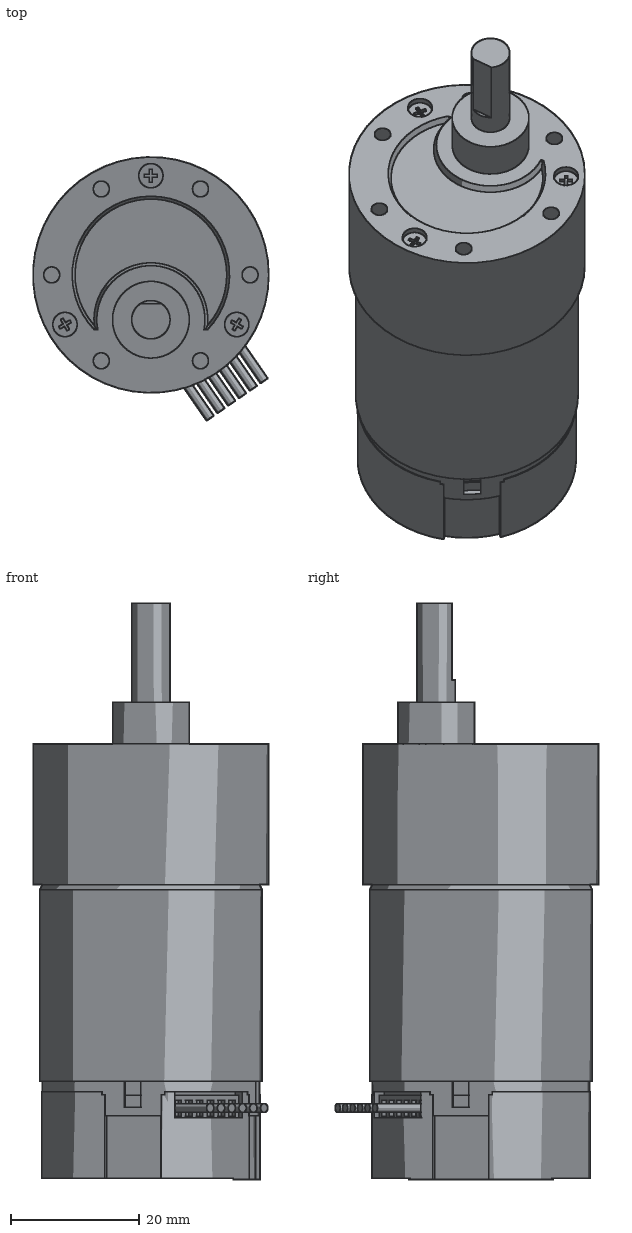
import cadquery as cq
import math

CAP_PAD_HEIGHT = 0.2
CAP_PANEL_TOP = 13.75
COLLAR_BOTTOM = 10.0
MOTOR_BOTTOM = 15.35
GEARBOX_LENGTH = 22.0
SHAFT_PROJECTION = 22.0
OVERALL_HEIGHT = 90.1
GEARBOX_TOP = OVERALL_HEIGHT - SHAFT_PROJECTION
GEARBOX_BOTTOM = GEARBOX_TOP - GEARBOX_LENGTH

GEARBOX_RADIUS = 18.44
MOTOR_RADIUS = 17.4
MOTOR_BEVEL_RADIAL = 0.4
MOTOR_BEVEL_HEIGHT = 0.8

BOLT_CIRCLE_RADIUS = 15.5
MOUNT_HOLE_DIAMETER = 2.5
MOUNT_HOLE_DEPTH = 5.0
MOUNT_HOLE_COUNT = 6

SCREW_RECESS_DIAMETER = 3.8
SCREW_RECESS_DEPTH = 1.0
SCREW_COUNT = 3
SCREW_START_ANGLE = 90.0
CROSS_LENGTH = 2.0
CROSS_WIDTH = 0.45
CROSS_DEPTH = 0.6

SHAFT_OFFSET_Y = -7.0
SHAFT_RADIUS = 3.0
SHAFT_FLAT_LENGTH = 12.0
SHAFT_FLAT_DEPTH = 0.5
BOSS_RADIUS = 6.0
BOSS_HEIGHT = 6.5

CRESCENT_OUTER_RADIUS = 12.3
CRESCENT_INNER_RADIUS = 8.45
CRESCENT_WALL_RUN = 0.45
CRESCENT_DEPTH = 1.0
CRESCENT_TIP_Y = -8.6

CAP_CORE_RADIUS = 16.4
COLLAR_RADIUS = 17.0
PANEL_RADIUS = 17.1
PANEL_CORNER_WIDTH = 0.55
PANEL_CORNER_HEIGHT = 0.5
PAD_CHORD_X = 12.85

CONNECTOR_ANGLE = -55.3
GAP_WIDTH = 30.2
GAP_SPACING = 135.6
REAR_GAP_ANGLE = CONNECTOR_ANGLE + 180.0
GAP_ANGLES = [REAR_GAP_ANGLE, REAR_GAP_ANGLE + GAP_SPACING, REAR_GAP_ANGLE + 360.0 - GAP_SPACING]

NOTCH_WIDTH = 2.65
NOTCH_BOTTOM = 11.3
NOTCH_STEP_LEVEL = 13.2
NOTCH_LOWER_DEPTH = 0.8
NOTCH_UPPER_DEPTH = 1.1

WINDOW_WIDTH = 12.8
WINDOW_BOTTOM = 9.7
PLUG_FACE_DISTANCE = 14.9
PLUG_TOP = 13.2
PLUG_GAP_DEPTH = 1.0
PLUG_POCKET_WIDTH = 1.2
PLUG_POCKET_BOTTOM = 9.95
PLUG_POCKET_TOP = 12.4
PLUG_POCKET_DEPTH = 0.9
WIRE_COUNT = 6
WIRE_PITCH = 2.05
WIRE_DIAMETER = 1.4
WIRE_TIP_DISTANCE = 23.69
WIRE_LEVEL = 11.2

CUT_CLEARANCE = 1.0


def cylinder(radius, z_low, z_high, x=0.0, y=0.0):
    """Upright cylinder between two levels."""
    return cq.Workplane("XY", origin=(x, y, z_low)).circle(radius).extrude(z_high - z_low)


def cone(radius_low, radius_high, z_low, z_high, y=0.0):
    """Upright cone frustum between two levels."""
    solid = cq.Solid.makeCone(radius_low, radius_high, z_high - z_low, cq.Vector(0, y, z_low))
    return cq.Workplane(obj=solid)


def radial_block(angle, inner, outer, offset, width, z_low, z_high):
    """Box reaching from inner to outer along a radial direction, shifted sideways by offset."""
    block = cq.Workplane("XY").box(outer - inner, width, z_high - z_low, centered=(False, True, False))
    return block.translate((inner, offset, z_low)).rotate((0, 0, 0), (0, 0, 1), angle)


def sector(radius, start, end, z_low, z_high):
    """Pie slice between two angles in degrees."""
    def rim_point(angle):
        turn = math.radians(angle)
        return (radius * math.cos(turn), radius * math.sin(turn))

    outline = cq.Workplane("XY", origin=(0, 0, z_low)).moveTo(0, 0).lineTo(*rim_point(start))
    outline = outline.threePointArc(rim_point((start + end) / 2), rim_point(end)).close()
    return outline.extrude(z_high - z_low)


def bolt_circle_points(count, start_angle):
    return cq.Workplane("XY").polarArray(BOLT_CIRCLE_RADIUS, start_angle, 360, count)


def crescent_pocket():
    """Round pocket with a raised round island around the shaft."""
    floor = GEARBOX_TOP - CRESCENT_DEPTH
    pocket = cone(CRESCENT_OUTER_RADIUS - CRESCENT_WALL_RUN, CRESCENT_OUTER_RADIUS, floor, GEARBOX_TOP)
    island = cone(
        CRESCENT_INNER_RADIUS + CRESCENT_WALL_RUN, CRESCENT_INNER_RADIUS, floor, GEARBOX_TOP, SHAFT_OFFSET_Y
    )
    tips = cq.Workplane("XY").box(
        2 * CRESCENT_OUTER_RADIUS, CRESCENT_OUTER_RADIUS, CRESCENT_DEPTH, centered=(True, False, False)
    )
    tips = tips.translate((0, CRESCENT_TIP_Y - CRESCENT_OUTER_RADIUS, floor))
    return pocket.cut(island).cut(tips)


def screw_recesses():
    """Sunk screw heads, each with a cross slot in its floor."""
    floor = GEARBOX_TOP - SCREW_RECESS_DEPTH
    recesses = bolt_circle_points(SCREW_COUNT, SCREW_START_ANGLE).circle(SCREW_RECESS_DIAMETER / 2)
    recesses = recesses.extrude(SCREW_RECESS_DEPTH).translate((0, 0, floor))
    for length, width in ((CROSS_LENGTH, CROSS_WIDTH), (CROSS_WIDTH, CROSS_LENGTH)):
        arms = bolt_circle_points(SCREW_COUNT, SCREW_START_ANGLE).rect(length, width)
        recesses = recesses.union(arms.extrude(CROSS_DEPTH).translate((0, 0, floor - CROSS_DEPTH)))
    return recesses


def gearbox():
    holes = bolt_circle_points(MOUNT_HOLE_COUNT, 0).circle(MOUNT_HOLE_DIAMETER / 2)
    holes = holes.extrude(MOUNT_HOLE_DEPTH).translate((0, 0, GEARBOX_TOP - MOUNT_HOLE_DEPTH))
    body = cylinder(GEARBOX_RADIUS, GEARBOX_BOTTOM, GEARBOX_TOP)
    return body.cut(holes).cut(screw_recesses()).cut(crescent_pocket())


def output_shaft():
    """Boss and D-shaped shaft, off the motor axis."""
    boss = cylinder(BOSS_RADIUS, GEARBOX_TOP, GEARBOX_TOP + BOSS_HEIGHT, 0, SHAFT_OFFSET_Y)
    shaft = cylinder(SHAFT_RADIUS, GEARBOX_TOP, OVERALL_HEIGHT, 0, SHAFT_OFFSET_Y)
    flat_y = SHAFT_OFFSET_Y + SHAFT_RADIUS - SHAFT_FLAT_DEPTH
    flat = cq.Workplane("XY").box(
        2 * SHAFT_RADIUS, SHAFT_RADIUS, SHAFT_FLAT_LENGTH, centered=(True, False, False)
    )
    shaft = shaft.cut(flat.translate((0, flat_y, OVERALL_HEIGHT - SHAFT_FLAT_LENGTH)))
    return boss.union(shaft)


def motor():
    """Motor can with a bevelled shoulder under the gearbox."""
    shoulder = GEARBOX_BOTTOM - MOTOR_BEVEL_HEIGHT
    can = cylinder(MOTOR_RADIUS, MOTOR_BOTTOM, shoulder)
    bevel = cone(MOTOR_RADIUS, MOTOR_RADIUS - MOTOR_BEVEL_RADIAL, shoulder, GEARBOX_BOTTOM)
    return can.union(bevel)


def cap_panel(start, end):
    """Side panel between two gaps, with its upper corners stepped."""
    shoulder = CAP_PANEL_TOP - PANEL_CORNER_HEIGHT
    inset = math.degrees(PANEL_CORNER_WIDTH / PANEL_RADIUS)
    lower = sector(PANEL_RADIUS, start, end, CAP_PAD_HEIGHT, shoulder)
    upper = sector(PANEL_RADIUS, start + inset, end - inset, shoulder, CAP_PANEL_TOP)
    return lower.union(upper)


def collar_notch(angle):
    """Notch in the collar, deeper above its step."""
    reach = COLLAR_RADIUS + CUT_CLEARANCE
    lower = radial_block(
        angle, COLLAR_RADIUS - NOTCH_LOWER_DEPTH, reach, 0, NOTCH_WIDTH, NOTCH_BOTTOM, MOTOR_BOTTOM
    )
    upper = radial_block(
        angle, COLLAR_RADIUS - NOTCH_UPPER_DEPTH, reach, 0, NOTCH_WIDTH, NOTCH_STEP_LEVEL, MOTOR_BOTTOM
    )
    return lower.union(upper)


def cap_pad():
    """Raised rim segment on the underside, cut off by a chord."""
    half_chord = math.sqrt(PANEL_RADIUS**2 - PAD_CHORD_X**2)
    outline = cq.Workplane("XY").moveTo(PAD_CHORD_X, -half_chord)
    outline = outline.threePointArc((PANEL_RADIUS, 0), (PAD_CHORD_X, half_chord)).close()
    gap_start = GAP_ANGLES[2] - GAP_WIDTH / 2
    gap = sector(2 * PANEL_RADIUS, gap_start, gap_start + GAP_WIDTH, 0, CAP_PAD_HEIGHT)
    gap = gap.cut(cylinder(CAP_CORE_RADIUS, 0, CAP_PAD_HEIGHT))
    return outline.extrude(CAP_PAD_HEIGHT).cut(gap)


def encoder_cap():
    cap = cylinder(CAP_CORE_RADIUS, CAP_PAD_HEIGHT, MOTOR_BOTTOM)
    cap = cap.union(cylinder(COLLAR_RADIUS, COLLAR_BOTTOM, MOTOR_BOTTOM))
    for index, gap in enumerate(GAP_ANGLES):
        next_gap = GAP_ANGLES[(index + 1) % len(GAP_ANGLES)]
        span = (next_gap - gap) % 360 - GAP_WIDTH
        start = gap + GAP_WIDTH / 2
        cap = cap.union(cap_panel(start, start + span))
    for gap in GAP_ANGLES:
        cap = cap.cut(collar_notch(gap))
    return cap.union(cap_pad())


def wire_offsets():
    middle = (WIRE_COUNT - 1) / 2
    return [(index - middle) * WIRE_PITCH for index in range(WIRE_COUNT)]


def connector_window():
    """Opening in front of the plug, a slit above it and a pocket around each wire."""
    reach = PANEL_RADIUS + CUT_CLEARANCE
    window = radial_block(
        CONNECTOR_ANGLE, PLUG_FACE_DISTANCE, reach, 0, WINDOW_WIDTH, WINDOW_BOTTOM, CAP_PANEL_TOP
    )
    slit_floor = PLUG_FACE_DISTANCE - PLUG_GAP_DEPTH
    window = window.union(
        radial_block(CONNECTOR_ANGLE, slit_floor, reach, 0, WINDOW_WIDTH, PLUG_TOP, CAP_PANEL_TOP)
    )
    pocket_floor = PLUG_FACE_DISTANCE - PLUG_POCKET_DEPTH
    for offset in wire_offsets():
        pocket = radial_block(
            CONNECTOR_ANGLE, pocket_floor, reach, offset,
            PLUG_POCKET_WIDTH, PLUG_POCKET_BOTTOM, PLUG_POCKET_TOP,
        )
        window = window.union(pocket)
    return window


def wires():
    """Row of parallel wires leaving the plug."""
    start = PLUG_FACE_DISTANCE - PLUG_POCKET_DEPTH - WIRE_DIAMETER / 2
    points = [(offset, WIRE_LEVEL) for offset in wire_offsets()]
    row = cq.Workplane("YZ", origin=(start, 0, 0)).pushPoints(points).circle(WIRE_DIAMETER / 2)
    row = row.extrude(WIRE_TIP_DISTANCE - start)
    return row.rotate((0, 0, 0), (0, 0, 1), CONNECTOR_ANGLE)


housing = encoder_cap().cut(connector_window())
result = housing.union(motor()).union(gearbox()).union(output_shaft()).union(wires())